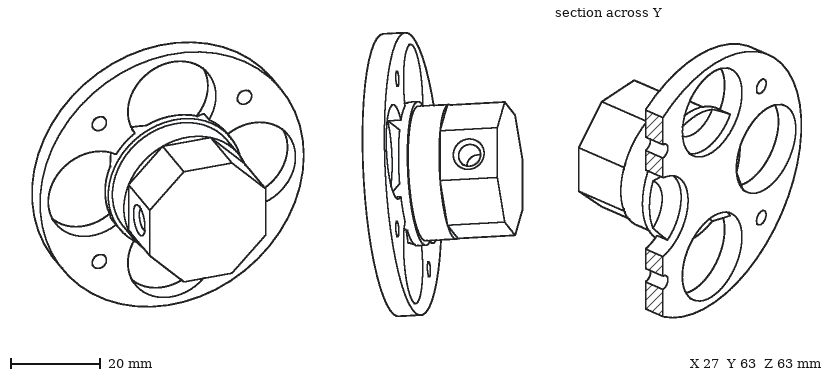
import cadquery as cq
import math

FLANGE_DIAMETER = 63
FLANGE_THICKNESS = 5
COLLAR_DIAMETER = 32
COLLAR_LENGTH = 2
NECK_DIAMETER = 30
NECK_LENGTH = 7
OCTAGON_SIDES = 8
OCTAGON_CORNER_DIAMETER = 30
OCTAGON_LENGTH = 13

HOLE_COUNT = 4
WINDOW_DIAMETER = 21
WINDOW_RIM = 2
POCKET_STRAIGHT_DEPTH = 2

BOLT_HOLE_DIAMETER = 3.4
BOLT_CIRCLE_DIAMETER = 49

SIDE_HOLE_DIAMETER = 5
SIDE_HOLE_MOUTH_DIAMETER = 7
SIDE_HOLE_DEPTH = 10

collar_end = FLANGE_THICKNESS + COLLAR_LENGTH
neck_end = collar_end + NECK_LENGTH
octagon_middle = neck_end + OCTAGON_LENGTH / 2
octagon_half_width = OCTAGON_CORNER_DIAMETER / 2 * math.cos(math.pi / OCTAGON_SIDES)
window_center_radius = FLANGE_DIAMETER / 2 - WINDOW_RIM - WINDOW_DIAMETER / 2


def disc(diameter, start, length):
    """Cylinder on the X axis."""
    return cq.Workplane("YZ", origin=(start, 0, 0)).circle(diameter / 2).extrude(length)


def tapered_pocket():
    """Straight-mouthed pocket narrowing at 45 degrees to a flat floor level with the flange back."""
    mouth_radius = WINDOW_DIAMETER / 2
    floor_radius = mouth_radius - (FLANGE_THICKNESS - POCKET_STRAIGHT_DEPTH)
    profile = [
        (0, 0),
        (0, mouth_radius),
        (POCKET_STRAIGHT_DEPTH, mouth_radius),
        (FLANGE_THICKNESS, floor_radius),
        (FLANGE_THICKNESS, 0),
    ]
    pocket = cq.Workplane("XY").polyline(profile).close().revolve(360, (0, 0), (1, 0))
    return pocket.translate((0, 0, window_center_radius))


def make_window():
    """Window cutter: a through hole outside the collar, a tapered pocket over the solid core."""
    through_hole = disc(WINDOW_DIAMETER, 0, FLANGE_THICKNESS).translate((0, 0, window_center_radius))
    core = disc(COLLAR_DIAMETER, 0, FLANGE_THICKNESS)
    return through_hole.cut(core).union(tapered_pocket())


def make_bolt_hole():
    """Bolt hole cutter, midway between the top window and the next one."""
    hole = disc(BOLT_HOLE_DIAMETER, 0, FLANGE_THICKNESS).translate((0, 0, BOLT_CIRCLE_DIAMETER / 2))
    return hole.rotate((0, 0, 0), (1, 0, 0), 180 / HOLE_COUNT)


def make_body():
    """Flange, collar, round neck and octagonal end, with octagon flats facing Y and Z."""
    flange = disc(FLANGE_DIAMETER, 0, FLANGE_THICKNESS)
    collar = disc(COLLAR_DIAMETER, FLANGE_THICKNESS, COLLAR_LENGTH)
    neck = disc(NECK_DIAMETER, collar_end, NECK_LENGTH)
    octagon = (
        cq.Workplane("YZ", origin=(neck_end, 0, 0))
        .polygon(OCTAGON_SIDES, OCTAGON_CORNER_DIAMETER)
        .extrude(OCTAGON_LENGTH)
        .rotate((0, 0, 0), (1, 0, 0), 180 / OCTAGON_SIDES)
    )
    return flange.union(collar).union(neck).union(octagon)


def make_side_hole():
    """Blind countersunk hole entering the octagon flat that faces -Y."""
    hole_radius = SIDE_HOLE_DIAMETER / 2
    mouth_radius = SIDE_HOLE_MOUTH_DIAMETER / 2
    countersink_depth = mouth_radius - hole_radius
    face = -octagon_half_width
    profile = [
        (0, face),
        (mouth_radius, face),
        (hole_radius, face + countersink_depth),
        (hole_radius, face + SIDE_HOLE_DEPTH),
        (0, face + SIDE_HOLE_DEPTH),
    ]
    hole = cq.Workplane("XY").polyline(profile).close().revolve(360, (0, 0), (0, 1))
    return hole.translate((octagon_middle, 0, 0))


result = make_body().cut(make_side_hole())
for index in range(HOLE_COUNT):
    turn = index * 360 / HOLE_COUNT
    for cutter in (make_window(), make_bolt_hole()):
        result = result.cut(cutter.rotate((0, 0, 0), (1, 0, 0), turn))